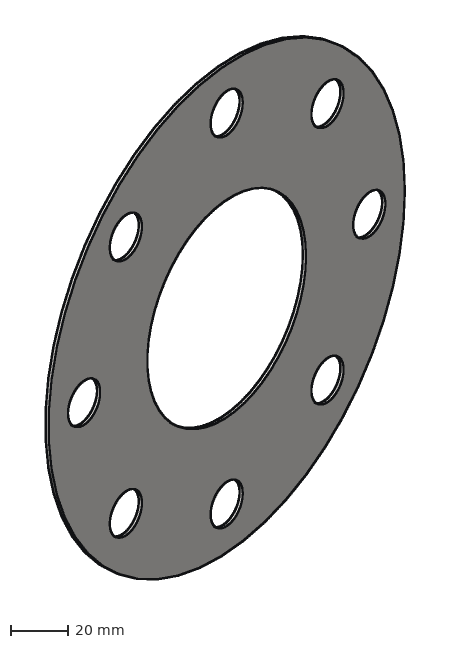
import cadquery as cq

outer_diameter = 200.0
thickness = 1.5
bore_diameter = 89.0
bolt_circle_diameter = 160.0
bolt_hole_diameter = 18.0
bolt_hole_count = 8

ring = (
    cq.Workplane("YZ")
    .circle(outer_diameter / 2)
    .circle(bore_diameter / 2)
    .extrude(thickness / 2, both=True)
)

bolt_holes = (
    cq.Workplane("YZ")
    .polarArray(bolt_circle_diameter / 2, 0, 360, bolt_hole_count)
    .circle(bolt_hole_diameter / 2)
    .extrude(thickness, both=True)
)

result = ring.cut(bolt_holes)